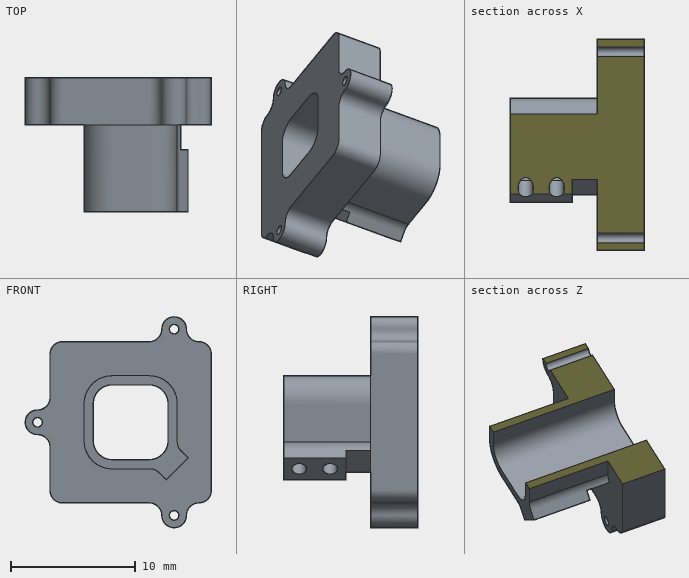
import math

import cadquery as cq


flange_side = 13.0
flange_thickness = 3.8
flange_corner_radius = 1.0

lug_radius = 1.0
lug_hole_diameter = 0.75
end_lug_x = 3.5

tube_side = 7.5
tube_corner_radius = 2.25
tube_length = 7.0
bore_side = 6.0
bore_corner_radius = 1.5

key_width = 2.5
key_length = 5.0
key_reach = 5.3
key_root_radius = 1.0
key_angle = 45

cross_hole_diameter = 1.2
cross_hole_pitch = 2.5

half_flange = flange_side / 2
half_tube = tube_side / 2
diagonal = math.sqrt(0.5)
key_middle_y = key_length / 2 - tube_length


def section_plane(y):
    """Plane at depth y whose normal points to -Y, with local axes X and Z."""
    return cq.Workplane("XZ", origin=(0, y, 0))


def rounded_square(side, corner_radius, y_start, length):
    """Square bar along -Y with its four long edges rounded."""
    bar = section_plane(y_start).rect(side, side).extrude(length)
    return bar.edges("|Y").fillet(corner_radius)


def lug(offset_along_side, side_angle):
    """Lug on the top side of the flange, turned about Y onto another side."""
    r = lug_radius
    x = offset_along_side
    base = half_flange
    lug_z = base + r
    blend_rise = r * (1 - diagonal)
    outline = (
        section_plane(flange_thickness)
        .moveTo(x - 2 * r, base)
        .threePointArc((x - r - blend_rise, base + blend_rise), (x - r, lug_z))
        .threePointArc((x, lug_z + r), (x + r, lug_z))
        .threePointArc((x + r + blend_rise, base + blend_rise), (x + 2 * r, base))
        .lineTo(x + 2 * r, base - r)
        .lineTo(x - 2 * r, base - r)
        .close()
    )
    hole = (
        section_plane(flange_thickness)
        .center(x, lug_z)
        .circle(lug_hole_diameter / 2)
        .extrude(flange_thickness)
    )
    body = outline.extrude(flange_thickness).cut(hole)
    return body.rotate((0, 0, 0), (0, 1, 0), side_angle)


def make_flange():
    flange = rounded_square(flange_side, flange_corner_radius, flange_thickness, flange_thickness)
    for offset, angle in ((end_lug_x, 0), (-end_lug_x, 180), (0, -90)):
        flange = flange.union(lug(offset, angle))
    return flange


def key_blend():
    """Full-length thickening of the tube corner, with concave arcs into the tube walls."""
    r = key_root_radius
    meet_z = key_width * diagonal - half_tube
    wall_z = meet_z + r * math.tan(math.pi / 8)
    arc_center_x = half_tube + r

    def arc_point(angle):
        """Point on the root arc, angle measured from where it leaves the wall."""
        return (arc_center_x - r * math.cos(angle), wall_z - r * math.sin(angle))

    def mirrored(point):
        """Point reflected across the key's diagonal centre line."""
        return (-point[1], -point[0])

    wall_end = arc_point(0)
    arc_middle = arc_point(math.pi / 8)
    key_end = arc_point(math.pi / 4)
    outline = (
        section_plane(0)
        .moveTo(*wall_end)
        .threePointArc(arc_middle, key_end)
        .lineTo(*mirrored(key_end))
        .threePointArc(mirrored(arc_middle), mirrored(wall_end))
        .close()
    )
    return outline.extrude(tube_length)


def make_key():
    key = cq.Workplane("XY").box(key_reach, key_length, key_width, centered=(False, True, True))
    return key.rotate((0, 0, 0), (0, 1, 0), key_angle).translate((0, key_middle_y, 0))


def cross_holes():
    holes = cq.Workplane("YZ").pushPoints([(-cross_hole_pitch / 2, 0), (cross_hole_pitch / 2, 0)])
    holes = holes.circle(cross_hole_diameter / 2).extrude(key_reach)
    return holes.rotate((0, 0, 0), (0, 1, 0), key_angle).translate((0, key_middle_y, 0))


tube = rounded_square(tube_side, tube_corner_radius, 0, tube_length)
tube = tube.union(key_blend()).union(make_key())
bore = rounded_square(bore_side, bore_corner_radius, flange_thickness, flange_thickness + tube_length)
result = make_flange().union(tube).cut(bore).cut(cross_holes())